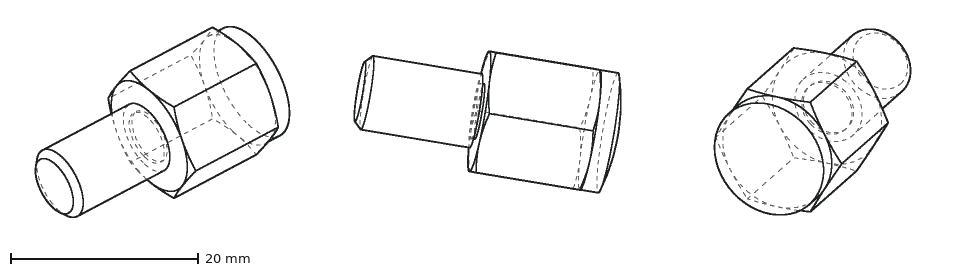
import cadquery as cq
import math

total_length = 28.0
across_flats = 13.0
hex_length = 12.0
collar_length = 2.0
dome_height = 1.0
stud_diameter = 8.0
stud_chamfer = 0.75
neck_diameter = 6.0
neck_length = 0.4
corner_chamfer_angle = 20.0

collar_radius = across_flats / 2
stud_radius = stud_diameter / 2
neck_radius = neck_diameter / 2
across_corners = across_flats / math.cos(math.radians(30))
corner_radius = across_corners / 2
corner_drop = (corner_radius - collar_radius) * math.tan(math.radians(corner_chamfer_angle))
collar_end = hex_length + collar_length
dome_top = collar_end + dome_height
stud_tip = dome_top - total_length
dome_radius = (collar_radius**2 + dome_height**2) / (2 * dome_height)
dome_mid_radius = collar_radius / 2
dome_mid_y = dome_top - dome_radius + math.sqrt(dome_radius**2 - dome_mid_radius**2)


def revolve_about_y(profile):
    """Revolve a closed radius/Y profile fully around the Y axis."""
    return profile.close().revolve(360, (0, 0, 0), (0, 1, 0))


def make_hexagon():
    """Hexagonal body with its corners turned off conically at both ends."""
    prism = (
        cq.Workplane("XZ")
        .polygon(6, across_corners)
        .extrude(-hex_length)
    )
    turned_envelope = revolve_about_y(
        cq.Workplane("XY")
        .lineTo(collar_radius, 0)
        .lineTo(corner_radius, corner_drop)
        .lineTo(corner_radius, hex_length - corner_drop)
        .lineTo(collar_radius, hex_length)
        .lineTo(0, hex_length)
    )
    return prism.intersect(turned_envelope)


def make_domed_collar():
    """Round collar closed by a shallow spherical dome."""
    return revolve_about_y(
        cq.Workplane("XY")
        .moveTo(0, hex_length)
        .lineTo(collar_radius, hex_length)
        .lineTo(collar_radius, collar_end)
        .threePointArc((dome_mid_radius, dome_mid_y), (0, dome_top))
    )


def make_stud():
    """Stud with a chamfered tip and a narrow neck next to the hexagon."""
    return revolve_about_y(
        cq.Workplane("XY")
        .lineTo(neck_radius, 0)
        .lineTo(neck_radius, -neck_length)
        .lineTo(stud_radius, -neck_length)
        .lineTo(stud_radius, stud_tip + stud_chamfer)
        .lineTo(stud_radius - stud_chamfer, stud_tip)
        .lineTo(0, stud_tip)
    )


result = make_hexagon().union(make_domed_collar()).union(make_stud())